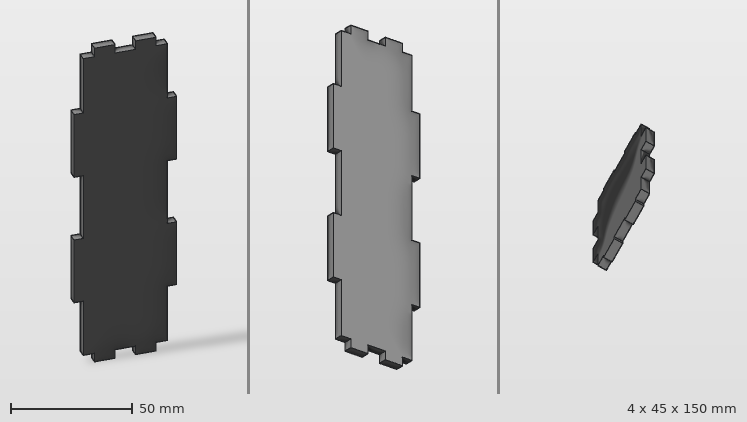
import cadquery as cq

height = 150.0
width = 45.0
thickness = 4.0
tab_depth = thickness
divisions = 5

side_tab_length = height / divisions
end_tab_width = width / divisions


def plate(size_y, size_z, center_y=0, center_z=0):
    """Rectangular plate of panel thickness, centred at the given place."""
    return cq.Workplane("XY").box(thickness, size_y, size_z).translate((0, center_y, center_z))


result = plate(width - 2 * tab_depth, height - 2 * tab_depth)

for side in (-1, 1):
    result = result.union(plate(width, side_tab_length, center_z=side * side_tab_length))
    result = result.union(plate(end_tab_width, height, center_y=side * end_tab_width))